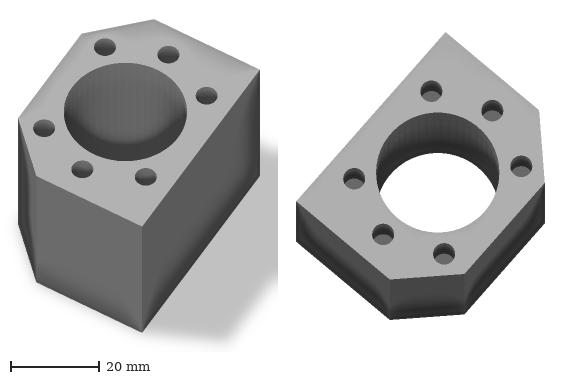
import cadquery as cq

width_x = 40.0
length_y = 52.0
height = 40.0
corner_cut = 12.0

bore_diameter = 28.0

bolt_circle_diameter = 38.0
bolt_hole_diameter = 5.0
bolt_hole_depth = 10.4
bolt_angle_step = 45.0
bolts_per_side = 3


def make_block():
    """Upright block with both corners on the -X side cut at 45 degrees."""
    block = cq.Workplane("XY").box(width_x, length_y, height)
    return block.edges("|Z and <X").chamfer(corner_cut)


def cut_bore(body):
    return body.faces(">Z").workplane(origin=(0, 0, 0)).hole(bore_diameter)


def cut_bolt_holes(body):
    """Groups of holes centred on the +Y and -Y directions."""
    group_span = bolt_angle_step * (bolts_per_side - 1)
    for side_direction in (90.0, 270.0):
        body = (
            body.faces(">Z")
            .workplane(origin=(0, 0, 0))
            .polarArray(
                bolt_circle_diameter / 2,
                side_direction - group_span / 2,
                group_span,
                bolts_per_side,
            )
            .circle(bolt_hole_diameter / 2)
            .cutBlind(-bolt_hole_depth)
        )
    return body


result = cut_bolt_holes(cut_bore(make_block()))